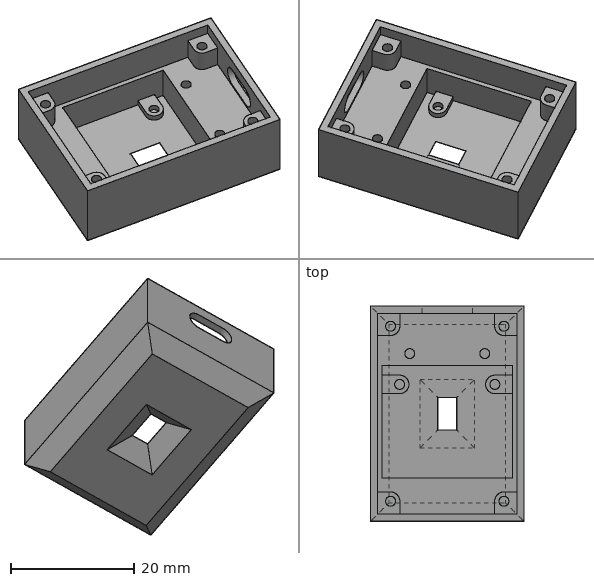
import cadquery as cq

width = 25.0
length = 35.0
height = 15.0
base_chamfer = 3.0
wall = 1.2

upper_depth = 6.0
pocket_depth = 6.1
pocket_width = 21.15
pocket_length = 18.27
pocket_center_y = -1.3
floor_z = height - upper_depth
pocket_z = floor_z - pocket_depth
cavity_width = width - 2 * wall
cavity_length = length - 2 * wall

hole_diameter = 1.6
post_size = 3.6
post_radius = 1.5
post_height = 4.0
post_hole_inset = 2.1
floor_hole_x = 6.1
floor_hole_y = 9.75
floor_hole_depth = 4.0
lug_radius = 1.5
lug_height = 1.0
lug_x = 7.75
lug_y = 4.75

window_width = 3.0
window_length = 5.25
slot_length = 8.25
slot_height = 3.5
slot_floor_gap = 0.3


def block(size_x, size_y, bottom, size_z, x=0, y=0):
    """Box centred at x, y and standing on the level bottom."""
    return cq.Workplane("XY", origin=(x, y, bottom)).box(size_x, size_y, size_z, centered=(True, True, False))


def screw_hole(x, y, top, depth):
    """Round cutter reaching down from the level top."""
    return cq.Workplane("XY", origin=(x, y, top - depth)).circle(hole_diameter / 2).extrude(depth)


def corner_post(side_x, side_y):
    """Post in a cavity corner, rounded on its free vertical edge."""
    x = side_x * (cavity_width - post_size) / 2
    y = side_y * (cavity_length - post_size) / 2
    post = block(post_size, post_size, floor_z, post_height, x, y)
    free_edge = cq.selectors.NearestToPointSelector((0, 0, floor_z + post_height / 2))
    post = post.edges("|Z").edges(free_edge).fillet(post_radius)
    hole_x = side_x * (cavity_width / 2 - post_hole_inset)
    hole_y = side_y * (cavity_length / 2 - post_hole_inset)
    return post.cut(screw_hole(hole_x, hole_y, floor_z + post_height, post_height))


def pocket_lug(side):
    """Low round-nosed lug reaching inward from a pocket side wall."""
    reach = pocket_width / 2 - lug_x
    lug = block(reach, 2 * lug_radius, pocket_z, lug_height, side * (lug_x + reach / 2), lug_y)
    nose = cq.Workplane("XY", origin=(side * lug_x, lug_y, pocket_z)).circle(lug_radius).extrude(lug_height)
    return lug.union(nose).cut(screw_hole(side * lug_x, lug_y, pocket_z + lug_height, lug_height))


result = block(width, length, 0, height).faces("<Z").edges().chamfer(base_chamfer)
result = result.cut(block(cavity_width, cavity_length, floor_z, upper_depth))
result = result.cut(block(pocket_width, pocket_length, pocket_z, pocket_depth, y=pocket_center_y))

for side_x in (-1, 1):
    for side_y in (-1, 1):
        result = result.union(corner_post(side_x, side_y))
    result = result.union(pocket_lug(side_x))
    result = result.cut(screw_hole(side_x * floor_hole_x, floor_hole_y, floor_z, floor_hole_depth))

window = (
    cq.Workplane("XY")
    .rect(window_width + 2 * pocket_z, window_length + 2 * pocket_z)
    .workplane(offset=pocket_z)
    .rect(window_width, window_length)
    .loft(ruled=True)
)
result = result.cut(window)

slot_z = floor_z + slot_floor_gap + slot_height / 2
slot = (
    cq.Workplane("XZ", origin=(0, length / 2, slot_z))
    .slot2D(slot_length, slot_height)
    .extrude(wall)
)
result = result.cut(slot)